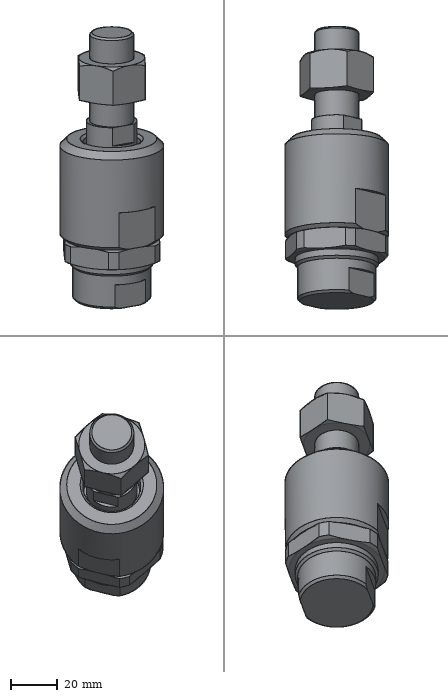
import cadquery as cq
import math


HEX_SIDES = 6

TOTAL_HEIGHT = 120.0
ADAPTER_FLAT_TOP_Z = 11.0
ADAPTER_SHOULDER_Z = 15.0
LOCK_NUT_BOTTOM_Z = 19.0
HOUSING_BOTTOM_Z = 28.0
HOUSING_FLAT_TOP_Z = 45.1
ADAPTER_TOP_Z = HOUSING_FLAT_TOP_Z
STUD_FOOT_TOP_Z = 66.1
HOUSING_TOP_Z = 72.0
COLLAR_TOP_Z = 80.2
STUD_NUT_BOTTOM_Z = 91.5
STUD_NUT_HEIGHT = 17.0

HOUSING_DIAMETER = 45.0
HOUSING_TOP_CHAMFER = 3.0
HOUSING_BOTTOM_CHAMFER = 1.5
HOUSING_ACROSS_FLATS = 41.0
MOUTH_DIAMETER = 27.4
BORE_DIAMETER = 25.0

STUD_DIAMETER = 19.1
STUD_TIP_DIAMETER = 17.3
COLLAR_DIAMETER = 22.0
COLLAR_ACROSS_FLATS = 19.0
STUD_FOOT_DIAMETER = 24.0

STUD_NUT_ACROSS_FLATS = 28.5
STUD_NUT_FACE_DIAMETER = STUD_NUT_ACROSS_FLATS
STUD_NUT_TOP_DROP = 1.3
STUD_NUT_BOTTOM_DROP = 0.4

LOCK_NUT_ACROSS_FLATS = HOUSING_ACROSS_FLATS
LOCK_NUT_FACE_DIAMETER = 41.3
LOCK_NUT_DROP = 0.6

ADAPTER_DIAMETER = 33.8
ADAPTER_SHANK_DIAMETER = 36.0
ADAPTER_FOOT_CHAMFER = 1.1
ADAPTER_ACROSS_FLATS = 30.0


def cylinder(diameter, bottom_z, top_z):
    """Solid cylinder on the Z axis."""
    height = top_z - bottom_z
    return cq.Workplane("XY").workplane(offset=bottom_z).circle(diameter / 2).extrude(height)


def cut_flats(body, across_flats, bottom_z, top_z):
    """Cut two wrench flats, facing -X and +X, into a round body."""
    height = top_z - bottom_z
    width = HOUSING_DIAMETER
    for side in (-1, 1):
        cutter = cq.Workplane("XY").box(width, width, height, centered=(True, True, False))
        body = body.cut(cutter.translate((side * (across_flats + width) / 2, 0, bottom_z)))
    return body


def across_corners(across_flats):
    """Diameter through the corners of a regular hexagon."""
    return across_flats / math.cos(math.pi / HEX_SIDES)


def hex_nut(across_flats, corner_diameter, face_diameter, bottom_z, height, drops, hole_diameter):
    """Hexagon nut with flats facing -X and +X and coned corners.

    Each face has face_diameter; the cones fall by drops (bottom, top) at corner_diameter.
    """
    bottom_drop, top_drop = drops
    face_radius = face_diameter / 2
    corner_radius = corner_diameter / 2
    envelope = (
        cq.Workplane("XZ")
        .moveTo(0, 0)
        .lineTo(face_radius, 0)
        .lineTo(corner_radius, bottom_drop)
        .lineTo(corner_radius, height - top_drop)
        .lineTo(face_radius, height)
        .lineTo(0, height)
        .close()
        .revolve(360, (0, 0, 0), (0, 1, 0))
    )
    prism = (
        cq.Workplane("XY")
        .polygon(HEX_SIDES, across_corners(across_flats))
        .extrude(height)
        .rotate((0, 0, 0), (0, 0, 1), 90)
    )
    nut = prism.intersect(envelope).translate((0, 0, bottom_z))
    return nut.cut(cylinder(hole_diameter, bottom_z, bottom_z + height))


def make_housing():
    """Round housing with a bore for the stud above and a socket for the adapter below."""
    body = cylinder(HOUSING_DIAMETER, HOUSING_BOTTOM_Z, HOUSING_TOP_Z)
    body = body.faces(">Z").chamfer(HOUSING_TOP_CHAMFER)
    body = body.faces("<Z").chamfer(HOUSING_BOTTOM_CHAMFER)
    body = cut_flats(body, HOUSING_ACROSS_FLATS, HOUSING_BOTTOM_Z, HOUSING_FLAT_TOP_Z)
    body = body.cut(cylinder(ADAPTER_SHANK_DIAMETER, HOUSING_BOTTOM_Z, ADAPTER_TOP_Z))
    body = body.cut(cylinder(BORE_DIAMETER, ADAPTER_TOP_Z, HOUSING_TOP_Z))
    mouth_chamfer = (MOUTH_DIAMETER - BORE_DIAMETER) / 2
    mouth_edge = cq.selectors.RadiusNthSelector(0)
    return body.faces(">Z").edges(mouth_edge).chamfer(mouth_chamfer)


def make_stud():
    """Stud with a chamfered tip, a collar flatted above the housing, and a foot on the adapter."""
    rod = cylinder(STUD_DIAMETER, COLLAR_TOP_Z, TOTAL_HEIGHT)
    rod = rod.faces(">Z").chamfer((STUD_DIAMETER - STUD_TIP_DIAMETER) / 2)
    collar = cylinder(COLLAR_DIAMETER, STUD_FOOT_TOP_Z, COLLAR_TOP_Z)
    collar = cut_flats(collar, COLLAR_ACROSS_FLATS, HOUSING_TOP_Z, COLLAR_TOP_Z)
    foot = cylinder(STUD_FOOT_DIAMETER, ADAPTER_TOP_Z, STUD_FOOT_TOP_Z)
    return foot.union(collar).union(rod)


def make_stud_nut():
    """Hexagon nut on the stud."""
    return hex_nut(
        STUD_NUT_ACROSS_FLATS,
        across_corners(STUD_NUT_ACROSS_FLATS),
        STUD_NUT_FACE_DIAMETER,
        STUD_NUT_BOTTOM_Z,
        STUD_NUT_HEIGHT,
        (STUD_NUT_BOTTOM_DROP, STUD_NUT_TOP_DROP),
        STUD_DIAMETER,
    )


def make_lock_nut():
    """Thin hexagon nut under the housing, its corners turned to the housing diameter."""
    return hex_nut(
        LOCK_NUT_ACROSS_FLATS,
        HOUSING_DIAMETER,
        LOCK_NUT_FACE_DIAMETER,
        LOCK_NUT_BOTTOM_Z,
        HOUSING_BOTTOM_Z - LOCK_NUT_BOTTOM_Z,
        (LOCK_NUT_DROP, LOCK_NUT_DROP),
        ADAPTER_SHANK_DIAMETER,
    )


def make_adapter():
    """Adapter with a flatted foot and a thicker shank screwed into the housing."""
    foot = cylinder(ADAPTER_DIAMETER, 0, ADAPTER_SHOULDER_Z)
    foot = foot.faces("<Z").chamfer(ADAPTER_FOOT_CHAMFER)
    foot = cut_flats(foot, ADAPTER_ACROSS_FLATS, 0, ADAPTER_FLAT_TOP_Z)
    shank = cylinder(ADAPTER_SHANK_DIAMETER, ADAPTER_SHOULDER_Z, ADAPTER_TOP_Z)
    shank = shank.faces("<Z").chamfer((ADAPTER_SHANK_DIAMETER - ADAPTER_DIAMETER) / 2)
    return foot.union(shank)


housing = make_housing()
stud = make_stud()
stud_nut = make_stud_nut()
lock_nut = make_lock_nut()
adapter = make_adapter()

result = cq.Compound.makeCompound([
    housing.val(),
    stud.val(),
    stud_nut.val(),
    lock_nut.val(),
    adapter.val(),
])